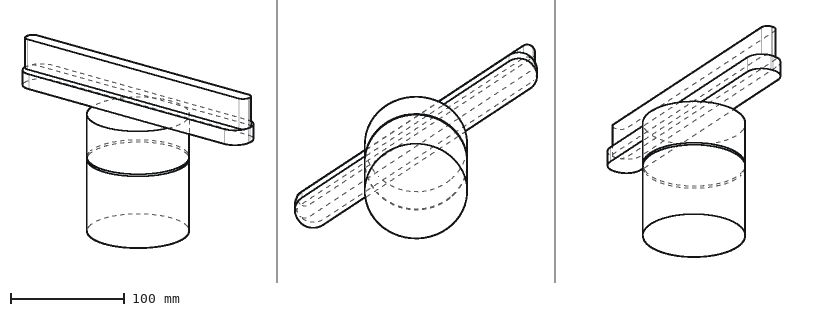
import cadquery as cq

drum_diameter = 90.0
lower_drum_height = 67.0
upper_drum_height = 40.0
gap = 2.0

bar_length = 253.0
rail_width = 32.0
rail_height = 14.0
rail_corner_radius = 15.0
blade_width = 13.7
blade_height = 28.0
blade_corner_radius = 6.0

upper_drum_z = lower_drum_height + gap
rail_z = upper_drum_z + upper_drum_height + gap
blade_z = rail_z + rail_height


def make_drum(bottom_z, height):
    """Plain upright cylinder centred on the Z axis."""
    return cq.Workplane("XY").workplane(offset=bottom_z).circle(drum_diameter / 2).extrude(height)


def make_bar(bottom_z, width, height, corner_radius):
    """Full-length bar along X with rounded vertical corners."""
    return (
        cq.Workplane("XY")
        .workplane(offset=bottom_z)
        .rect(bar_length, width)
        .extrude(height)
        .edges("|Z")
        .fillet(corner_radius)
    )


lower_drum = make_drum(0, lower_drum_height)
upper_drum = make_drum(upper_drum_z, upper_drum_height)
rail = make_bar(rail_z, rail_width, rail_height, rail_corner_radius)
blade = make_bar(blade_z, blade_width, blade_height, blade_corner_radius)

result = cq.Compound.makeCompound([lower_drum.val(), upper_drum.val(), rail.val(), blade.val()])